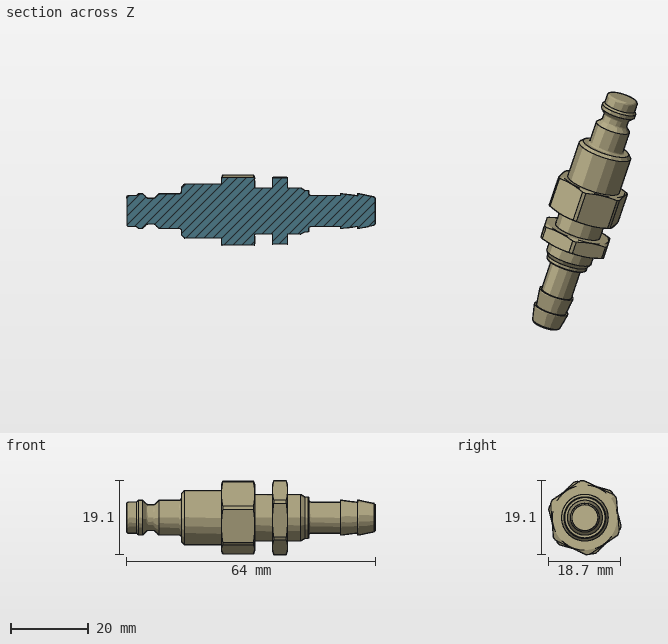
import cadquery as cq

length = 64.0

tip_dia = 8.1
tip_round = 0.65
collar_start = 2.55
collar_full = 3.15
collar_end = 4.15
plug_dia = 9.0
neck_dia = 6.65
neck_round = 0.45
plug_start = 8.3
neck_depth = (plug_dia - neck_dia) / 2
neck_start = collar_end + neck_depth
neck_end = plug_start - neck_depth

body_start = 14.1
body_dia = 14.0
body_chamfer = 0.8
root_round = 0.5
thread_dia = 12.0
thread_end = 44.8
shoulder_start = 45.9
shoulder_dia = 10.75
shoulder_end = 46.9
shoulder_chamfer = 0.2

tail_dia = 8.05
tail_root_round = 0.6
barb_dia = 9.0
barb_land = 0.4
barb_starts = (55.05, 59.45)
first_barb_end_dia = 8.0
last_barb_end_dia = 7.4
end_chamfer = 0.4

across_flats = 17.0
corner_dia = 19.15
hex_face_dia = 16.8
hex_chamfer_length = 0.4
body_hex_start = 24.4
body_hex_length = 8.65
body_hex_angle = 14.5
nut_start = 37.5
nut_length = 4.0
nut_angle = 4.5


def turned(profile):
    """Revolve an open XY profile about the X axis, closing it along the axis."""
    return profile.close().revolve(360, (0, 0, 0), (1, 0, 0))


def make_plug():
    """Rounded tip, collar, locking neck and plug stem, ending in the body face."""
    tip_r = tip_dia / 2
    plug_r = plug_dia / 2
    profile = (
        cq.Workplane("XY")
        .moveTo(0, 0)
        .lineTo(0, tip_r - tip_round)
        .radiusArc((tip_round, tip_r), tip_round)
        .lineTo(collar_start, tip_r)
        .lineTo(collar_full, plug_r)
        .lineTo(collar_end, plug_r)
        .lineTo(neck_start, neck_dia / 2)
        .lineTo(neck_end, neck_dia / 2)
        .lineTo(plug_start, plug_r)
        .lineTo(body_start - root_round, plug_r)
    )
    profile = profile.radiusArc((body_start, plug_r + root_round), -root_round)
    plug = turned(profile.lineTo(body_start, 0))
    neck_band = cq.selectors.BoxSelector(
        (neck_start - neck_round, -plug_dia, -plug_dia),
        (neck_end + neck_round, plug_dia, plug_dia),
    )
    return plug.edges(neck_band).edges("%CIRCLE").fillet(neck_round)


def make_body():
    """Chamfered sleeve, threaded barrel and stepped shoulder."""
    thread_r = thread_dia / 2
    shoulder_r = shoulder_dia / 2
    profile = (
        cq.Workplane("XY")
        .moveTo(body_start, 0)
        .lineTo(body_start, body_dia / 2 - body_chamfer)
        .lineTo(body_start + body_chamfer, body_dia / 2)
        .lineTo(body_hex_start, body_dia / 2)
        .lineTo(body_hex_start, thread_r)
        .lineTo(thread_end, thread_r)
        .lineTo(shoulder_start, shoulder_r)
        .lineTo(shoulder_end - shoulder_chamfer, shoulder_r)
        .lineTo(shoulder_end, shoulder_r - shoulder_chamfer)
        .lineTo(shoulder_end, 0)
    )
    return turned(profile)


def make_tail():
    """Hose tail with a root fillet and two tapered barbs."""
    tail_r = tail_dia / 2
    barb_r = barb_dia / 2
    first_barb, last_barb = barb_starts
    last_end_r = last_barb_end_dia / 2
    profile = (
        cq.Workplane("XY")
        .moveTo(shoulder_end, 0)
        .lineTo(shoulder_end, tail_r + tail_root_round)
        .radiusArc((shoulder_end + tail_root_round, tail_r), -tail_root_round)
        .lineTo(first_barb, tail_r)
        .lineTo(first_barb, barb_r)
        .lineTo(first_barb + barb_land, barb_r)
        .lineTo(last_barb, first_barb_end_dia / 2)
        .lineTo(last_barb, barb_r)
        .lineTo(last_barb + barb_land, barb_r)
        .lineTo(length - end_chamfer, last_end_r)
        .lineTo(length, last_end_r - end_chamfer)
        .lineTo(length, 0)
    )
    return turned(profile)


def make_hexagon(start, width, angle):
    """Hexagon whose corners are turned to a cylinder and coned at both faces."""
    prism = (
        cq.Workplane("YZ", origin=(start, 0, 0))
        .polygon(6, across_flats, circumscribed=True)
        .extrude(width)
        .rotate((0, 0, 0), (1, 0, 0), angle)
    )
    end = start + width
    envelope = turned(
        cq.Workplane("XY")
        .moveTo(start, 0)
        .lineTo(start, hex_face_dia / 2)
        .lineTo(start + hex_chamfer_length, corner_dia / 2)
        .lineTo(end - hex_chamfer_length, corner_dia / 2)
        .lineTo(end, hex_face_dia / 2)
        .lineTo(end, 0)
    )
    return prism.intersect(envelope)


body_hex = make_hexagon(body_hex_start, body_hex_length, body_hex_angle)
lock_nut = make_hexagon(nut_start, nut_length, nut_angle)
result = make_plug().union(make_body()).union(make_tail()).union(body_hex).union(lock_nut)